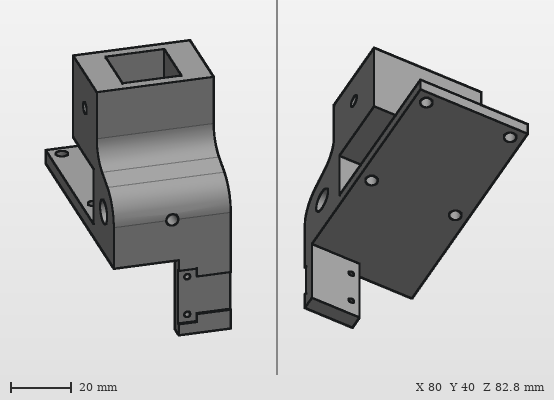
import cadquery as cq
import math

LENGTH = 80.0
WIDTH = 40.0
HEIGHT = 82.8

PLATE_THICKNESS = 5.0
GAP_HEIGHT = 20.2
LEG_HEIGHT = 27.6
PLATE_BOTTOM = LEG_HEIGHT
PLATE_TOP = PLATE_BOTTOM + PLATE_THICKNESS
BLOCK_BOTTOM = PLATE_TOP + GAP_HEIGHT

BLOCK_LEFT = 32.05
BLOCK_LENGTH = 27.9
BLOCK_RIGHT = BLOCK_LEFT + BLOCK_LENGTH
BLOCK_CENTRE = BLOCK_LEFT + BLOCK_LENGTH / 2
SOCKET_SIDE = 20.1
WEB_LEFT = BLOCK_CENTRE + SOCKET_SIDE / 2
PIN_DIAMETER = 4.05
PIN_DROP = 12.6

SHOULDER_RADIUS = 12.0
FILLET_RADIUS = 10.0
SHOULDER_SLOPE = math.radians(22)
PIVOT_X = LENGTH - SHOULDER_RADIUS
PIVOT_Z = PLATE_BOTTOM + 15.15
PIVOT_DIAMETER = 8.2
SET_SCREW_DIAMETER = 4.05

MOUNT_DIAMETER = 4.05
MOUNT_INSET = 4.05
MOUNT_SPACING_X = 37.8
MOUNT_SPACING_Y = 31.2

LEG_THICKNESS = 5.0
LEG_WIDTH = 17.8
LEG_HOLE_DIAMETER = 2.0
LEG_HOLE_INSET = 3.15
LEG_HOLE_DROP = 6.8
LEG_HOLE_SPACING = 13.8
RECESS_DEPTH = 0.75
SEAT_HALF_HEIGHT = 2.9
LEG_EDGE_Y = WIDTH / 2 - LEG_WIDTH
LEG_HOLE_Y = LEG_EDGE_Y + LEG_HOLE_INSET
UPPER_HOLE_Z = PLATE_BOTTOM - LEG_HOLE_DROP
LOWER_HOLE_Z = UPPER_HOLE_Z - LEG_HOLE_SPACING


def box(x, y, z):
    """Box spanning the given (low, high) ranges."""
    size = [high - low for low, high in (x, y, z)]
    return cq.Workplane("XY").box(*size, centered=False).translate((x[0], y[0], z[0]))


def arc_point(centre, radius, angle):
    return (centre[0] + radius * math.cos(angle), centre[1] + radius * math.sin(angle))


def make_body():
    """Side profile, with the shoulder and fillet joined by a tangent slope."""
    pivot = (PIVOT_X, PIVOT_Z)
    slope_normal = math.pi / 2 - SHOULDER_SLOPE
    slope_low = arc_point(pivot, SHOULDER_RADIUS, slope_normal)
    shoulder_mid = arc_point(pivot, SHOULDER_RADIUS, slope_normal / 2)

    fillet_x = BLOCK_RIGHT + FILLET_RADIUS
    slope_high_x = fillet_x - FILLET_RADIUS * math.sin(SHOULDER_SLOPE)
    slope_high_z = slope_low[1] + (slope_low[0] - slope_high_x) * math.tan(SHOULDER_SLOPE)
    fillet_z = slope_high_z + FILLET_RADIUS * math.cos(SHOULDER_SLOPE)
    fillet_mid_angle = math.pi + slope_normal / 2
    fillet_mid = arc_point((fillet_x, fillet_z), FILLET_RADIUS, fillet_mid_angle)

    return (
        cq.Workplane("XZ", origin=(0, WIDTH / 2, 0))
        .moveTo(0, PLATE_BOTTOM)
        .lineTo(LENGTH, PLATE_BOTTOM)
        .lineTo(LENGTH, PIVOT_Z)
        .threePointArc(shoulder_mid, slope_low)
        .lineTo(slope_high_x, slope_high_z)
        .threePointArc(fillet_mid, (BLOCK_RIGHT, fillet_z))
        .lineTo(BLOCK_RIGHT, HEIGHT)
        .lineTo(BLOCK_LEFT, HEIGHT)
        .lineTo(BLOCK_LEFT, BLOCK_BOTTOM)
        .lineTo(WEB_LEFT, BLOCK_BOTTOM)
        .lineTo(WEB_LEFT, PLATE_TOP)
        .lineTo(0, PLATE_TOP)
        .close()
        .extrude(WIDTH)
    )


def cross_bore(x, z, diameter):
    """Hole through the full width along Y."""
    return cq.Workplane("XZ", origin=(x, WIDTH / 2, z)).circle(diameter / 2).extrude(WIDTH)


def make_socket():
    return (
        cq.Workplane("XY", origin=(BLOCK_CENTRE, 0, BLOCK_BOTTOM))
        .rect(SOCKET_SIDE, SOCKET_SIDE)
        .extrude(HEIGHT - BLOCK_BOTTOM)
    )


def make_set_screw_hole():
    """Radial hole from the +X face into the pivot bore."""
    return (
        cq.Workplane("YZ", origin=(PIVOT_X, 0, PIVOT_Z))
        .circle(SET_SCREW_DIAMETER / 2)
        .extrude(SHOULDER_RADIUS)
    )


def make_mount_holes():
    return (
        cq.Workplane("XY", origin=(MOUNT_INSET + MOUNT_SPACING_X / 2, 0, PLATE_BOTTOM))
        .rarray(MOUNT_SPACING_X, MOUNT_SPACING_Y, 2, 2)
        .circle(MOUNT_DIAMETER / 2)
        .extrude(PLATE_THICKNESS)
    )


def make_leg():
    """Leg with two screw holes and a shallow recess on its +X face."""
    leg_left = LENGTH - LEG_THICKNESS
    leg = box((leg_left, LENGTH), (LEG_EDGE_Y, WIDTH / 2), (0, PLATE_BOTTOM))

    recess_x = (LENGTH - RECESS_DEPTH, LENGTH)
    leg = leg.cut(box(recess_x, (LEG_EDGE_Y, WIDTH / 2), (LOWER_HOLE_Z, UPPER_HOLE_Z)))

    seat_end = LEG_EDGE_Y + 2 * LEG_HOLE_INSET
    for z in (LOWER_HOLE_Z, UPPER_HOLE_Z):
        screw = cq.Workplane("YZ", origin=(leg_left, LEG_HOLE_Y, z))
        leg = leg.cut(screw.circle(LEG_HOLE_DIAMETER / 2).extrude(LEG_THICKNESS))
        seat_z = (z - SEAT_HALF_HEIGHT, z + SEAT_HALF_HEIGHT)
        leg = leg.cut(box(recess_x, (LEG_EDGE_Y, seat_end), seat_z))
    return leg


result = (
    make_body()
    .cut(make_socket())
    .cut(cross_bore(BLOCK_CENTRE, HEIGHT - PIN_DROP, PIN_DIAMETER))
    .cut(cross_bore(PIVOT_X, PIVOT_Z, PIVOT_DIAMETER))
    .cut(make_set_screw_hole())
    .cut(make_mount_holes())
    .union(make_leg())
)